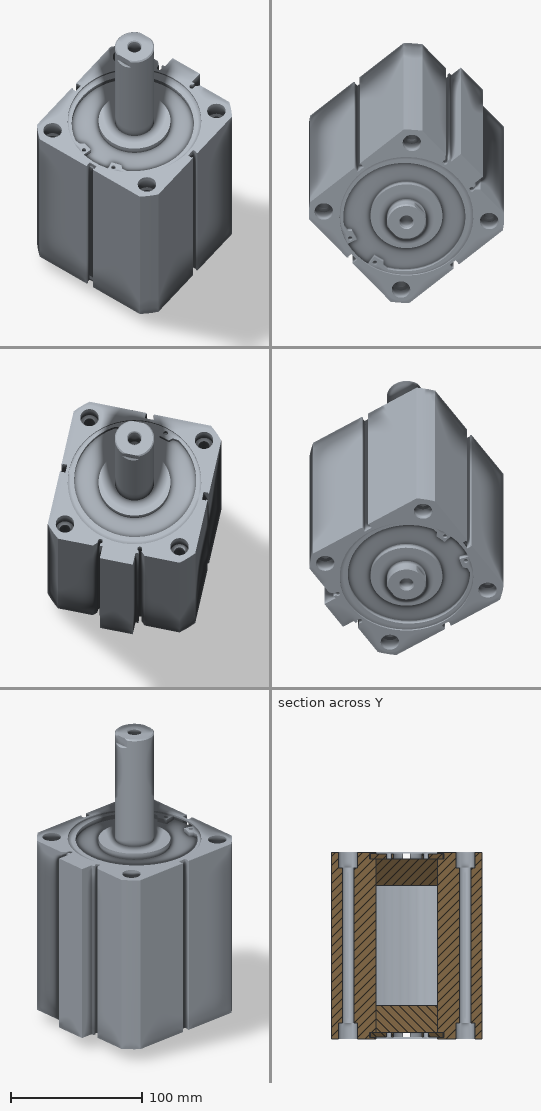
import cadquery as cq
import math


tube_length = 142.5
body_width = 115.0
half_width = body_width / 2
corner_turn_radius = 74.5
bore_radius = 51.0

bolt_offset = 44.5
bolt_hole_diameter = 8.5
counterbore_diameter = 14.0
counterbore_depth = 12.1

slot_floor = 53.0
slot_inner_half = 3.27
slot_mouth_half = 2.55
slot_lip_depth = 1.0
slot_mouth_chamfer = 0.5

rail_top = 66.5
rail_half = 12.9
rail_foot_half = 15.0
rail_foot_top = 56.5
rail_foot_bottom = 54.8
rail_neck_top = 53.5
groove_inner = 13.5
groove_outer = 17.2
groove_center_y = 52.6
groove_chamfer = 3.0

ring_recess = 1.5
ring_thickness = 3.6
groove_breakthrough = 0.12
ring_radius = slot_floor + groove_breakthrough
ring_inner_radius = 46.5
ring_inner_shift = -2.2
ear_gap_x = 10.0
ear_gap_y = -42.0
ear_peak_x = 17.7
ear_peak_y = -39.8
ear_notch_x = 20.4
ear_notch_y = -42.2
ear_root_x = 26.2
ear_root_y = -41.5
ear_hole_x = 14.0
ear_hole_y = -45.0
ear_hole_diameter = 3.5
ear_gap_reach = 1.5
ring_turn = -0.8

cover_depth = ring_recess + ring_thickness
cover_thickness = 20.5
boss_radius = 27.5

rod_radius = 15.0
rod_bottom = -10.0
rod_length = 242.5
rod_top = rod_bottom + rod_length
rod_chamfer = 1.0
flats_width = 27.2
flats_length = 6.8
thread_hole_diameter = 10.2
thread_hole_chamfer = 0.7
thread_hole_depth = 19.5
drill_tip_angle = 118.0

middle_z = tube_length / 2


def cylinder(radius, bottom, height, x=0.0, y=0.0):
    return cq.Workplane("XY", origin=(x, y, bottom)).circle(radius).extrude(height)


def mirrored_to_lower_end(upper, plane_z):
    """Mirror image of an upper-end shape in the horizontal plane at plane_z."""
    return upper.mirror("XY", (0, 0, plane_z))


def tube_side_slot():
    """Cutter for one T-slot, on the +X side."""
    chamfered_half = slot_mouth_half + slot_mouth_chamfer
    upper_half = [
        (half_width, chamfered_half),
        (half_width - slot_mouth_chamfer, slot_mouth_half),
        (half_width - slot_lip_depth, slot_mouth_half),
        (half_width - slot_lip_depth, slot_inner_half),
        (slot_floor, slot_inner_half),
    ]
    lower_half = [(x, -y) for x, y in reversed(upper_half)]
    return cq.Workplane("XY").polyline(upper_half + lower_half).close().extrude(tube_length)


def rail_groove():
    """Cutter for the groove on the +X flank of the rail."""
    center_x = (groove_inner + groove_outer) / 2
    round_radius = (groove_outer - groove_inner) / 2
    return (
        cq.Workplane("XY")
        .moveTo(rail_half, half_width)
        .lineTo(rail_half, rail_foot_top)
        .lineTo(rail_foot_half, rail_foot_top)
        .lineTo(rail_foot_half, rail_foot_bottom)
        .lineTo(groove_inner, rail_neck_top)
        .lineTo(groove_inner, groove_center_y)
        .threePointArc((center_x, groove_center_y - round_radius), (groove_outer, groove_center_y))
        .lineTo(groove_outer, half_width - groove_chamfer)
        .lineTo(groove_outer + groove_chamfer, half_width)
        .close()
        .extrude(tube_length)
    )


def bolt_hole(x, y):
    """Through hole with a counterbore at both ends."""
    hole = cylinder(bolt_hole_diameter / 2, 0, tube_length, x, y)
    for bottom in (0, tube_length - counterbore_depth):
        hole = hole.union(cylinder(counterbore_diameter / 2, bottom, counterbore_depth, x, y))
    return hole


def ring_groove():
    """Cutter for the upper retaining ring groove, just deep enough to open into the T-slots."""
    return cylinder(ring_radius, tube_length - cover_depth, ring_thickness)


def make_tube():
    tube = cq.Workplane("XY").rect(body_width, body_width).extrude(tube_length)
    tube = tube.intersect(cylinder(corner_turn_radius, 0, tube_length))
    rail_base = (bore_radius + half_width) / 2
    rail = (
        cq.Workplane("XY")
        .center(0, (rail_base + rail_top) / 2)
        .rect(2 * rail_half, rail_top - rail_base)
        .extrude(tube_length)
    )
    tube = tube.union(rail)
    tube = tube.cut(cylinder(bore_radius, 0, tube_length))
    for angle in (0, 180, 270):
        tube = tube.cut(tube_side_slot().rotate((0, 0, 0), (0, 0, 1), angle))
    tube = tube.cut(rail_groove()).cut(rail_groove().mirror("YZ"))
    for x in (-bolt_offset, bolt_offset):
        for y in (-bolt_offset, bolt_offset):
            tube = tube.cut(bolt_hole(x, y))
    tube = tube.cut(ring_groove())
    return tube.cut(mirrored_to_lower_end(ring_groove(), middle_z))


def make_upper_cover():
    """Disc under the retaining ring, with a boss flush with the tube end and a rod hole."""
    disc_bottom = tube_length - cover_depth - cover_thickness
    disc = cylinder(bore_radius, disc_bottom, cover_thickness)
    boss = cylinder(boss_radius, disc_bottom, cover_thickness + cover_depth)
    rod_hole = cylinder(rod_radius, disc_bottom, cover_thickness + cover_depth)
    return disc.union(boss).cut(rod_hole)


def ring_ear(bottom, side):
    """Plier ear beside the gap: side is +1 for +X and -1 for -X."""
    points = [
        (ear_gap_x, ear_gap_y),
        (ear_peak_x, ear_peak_y),
        (ear_notch_x, ear_notch_y),
        (ear_root_x, ear_root_y),
        (ear_root_x, -ring_radius),
        (ear_gap_x, -ring_radius),
    ]
    return (
        cq.Workplane("XY", origin=(0, 0, bottom))
        .polyline([(side * x, y) for x, y in points])
        .close()
        .extrude(ring_thickness)
    )


def make_upper_ring():
    bottom = tube_length - cover_depth
    outer_disc = cylinder(ring_radius, bottom, ring_thickness)
    ring = outer_disc.cut(cylinder(ring_inner_radius, bottom, ring_thickness, 0, ring_inner_shift))
    for side in (-1, 1):
        hole = cylinder(ear_hole_diameter / 2, bottom, ring_thickness, side * ear_hole_x, ear_hole_y)
        ring = ring.union(ring_ear(bottom, side).intersect(outer_disc)).cut(hole)
    gap_side_x = ear_gap_reach * ear_gap_x
    gap_side_y = ear_gap_reach * ear_gap_y
    gap = (
        cq.Workplane("XY", origin=(0, 0, bottom))
        .polyline([
            (0, 0),
            (gap_side_x, gap_side_y),
            (-gap_side_x, gap_side_y),
        ])
        .close()
        .extrude(ring_thickness)
    )
    return ring.cut(gap).rotate((0, 0, 0), (0, 0, 1), ring_turn)


def wrench_flat():
    """Cutter for the upper flat on the +Y side, ending in a 45 degree ledge."""
    flat_y = flats_width / 2
    flat_depth = rod_radius - flat_y
    flat_bottom = rod_top - flats_length
    return (
        cq.Workplane("YZ")
        .polyline([
            (flat_y, rod_top),
            (flat_y, flat_bottom),
            (rod_radius, flat_bottom - flat_depth),
            (rod_radius, rod_top),
        ])
        .close()
        .extrude(rod_radius, both=True)
    )


def thread_hole():
    """Cutter for the chamfered blind hole in the upper end, with a conical drill tip."""
    radius = thread_hole_diameter / 2
    tip_height = radius / math.tan(math.radians(drill_tip_angle / 2))
    hole_bottom = rod_top - thread_hole_depth
    return (
        cq.Workplane("XZ")
        .polyline([
            (0, rod_top),
            (radius + thread_hole_chamfer, rod_top),
            (radius, rod_top - thread_hole_chamfer),
            (radius, hole_bottom),
            (0, hole_bottom - tip_height),
        ])
        .close()
        .revolve(360, (0, 0, 0), (0, 1, 0))
    )


def make_rod():
    """Through rod with the same flats, chamfer and threaded hole at both ends."""
    rod_middle = (rod_top + rod_bottom) / 2
    rod = cylinder(rod_radius, rod_bottom, rod_length).faces("<Z or >Z").chamfer(rod_chamfer)
    for upper_cutter in (wrench_flat(), wrench_flat().mirror("XZ"), thread_hole()):
        rod = rod.cut(upper_cutter).cut(mirrored_to_lower_end(upper_cutter, rod_middle))
    return rod


tube = make_tube()
rod = make_rod()
upper_cover = make_upper_cover()
upper_ring = make_upper_ring()
lower_cover = mirrored_to_lower_end(upper_cover, middle_z)
lower_ring = mirrored_to_lower_end(upper_ring, middle_z)

result = cq.Compound.makeCompound([
    tube.val(),
    rod.val(),
    upper_cover.val(),
    lower_cover.val(),
    upper_ring.val(),
    lower_ring.val(),
])